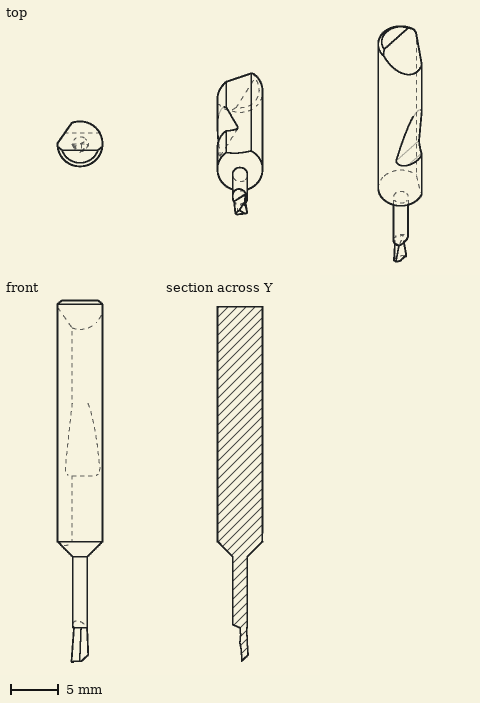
import cadquery as cq
import math

length = 38.1
shank_diameter = 4.75
shank_radius = shank_diameter / 2
neck_diameter = 1.55
neck_radius = neck_diameter / 2
shank_bottom = 12.73
neck_bottom = 3.65
cone_bottom = shank_bottom - (shank_radius - neck_radius)
top_chamfer = 0.4

flat_angle = 145.0
flat_distance = 2.0

bevel_start_y = -0.65
notch_top = 28.25
notch_bottom = 19.62
notch_depth = 1.2
notch_radius = 0.85
notch_slope = math.radians(9.0)

neck_bevel_distance = 0.05
neck_bevel_angle = 25.0
tip_left = -0.85
tip_right = -0.75
end_relief = 0.1
nose_start_x = 0.15
nose_height = 0.85
head_left = -0.9
head_right = 0.9

head_bottom_corners = [(head_left, 0.0), (-0.05, -0.88), (head_right, -0.2), (head_right, 0.0)]
head_top_corners = [(-0.65, -0.3), (0.1, -0.72), (0.75, -0.15), (0.65, 0.35)]

clearance = 0.4
cut_width = 2 * (shank_radius + clearance)


def make_blank():
    """Turned shank, cone and neck."""
    return (
        cq.Workplane("XZ")
        .moveTo(0, neck_bottom)
        .lineTo(neck_radius, neck_bottom)
        .lineTo(neck_radius, cone_bottom)
        .lineTo(shank_radius, shank_bottom)
        .lineTo(shank_radius, length - top_chamfer)
        .lineTo(shank_radius - top_chamfer, length)
        .lineTo(0, length)
        .close()
        .revolve(360, (0, 0, 0), (0, 1, 0))
    )


def extrude_both_ways(profile):
    """Close a sketch and extrude it to both sides, past the full width of the shank."""
    return profile.close().extrude(cut_width / 2, both=True)


def make_flat_cut():
    flat_length = length - cone_bottom
    return (
        cq.Workplane("XY")
        .box(cut_width, cut_width, flat_length, centered=(False, True, False))
        .translate((flat_distance, 0, cone_bottom))
        .rotate((0, 0, 0), (0, 0, 1), flat_angle)
    )


def make_top_bevel_cut():
    outer_y = shank_radius + clearance
    drop = outer_y - bevel_start_y
    return extrude_both_ways(
        cq.Workplane("YZ")
        .moveTo(bevel_start_y, length)
        .lineTo(outer_y, length - drop)
        .lineTo(outer_y, length)
    )


def make_notch_cut():
    """Shallow ramp ending in a round that is tangent to the ramp and the lower wall."""
    outer_y = shank_radius + clearance
    centre_y = shank_radius - notch_depth + notch_radius
    centre_z = notch_bottom + notch_radius
    ramp_end_y = centre_y - notch_radius * math.cos(notch_slope)
    ramp_end_z = centre_z + notch_radius * math.sin(notch_slope)
    middle_angle = (math.pi / 2 - notch_slope) / 2
    ramp_lead = clearance * (notch_top - ramp_end_z) / (shank_radius - ramp_end_y)
    return extrude_both_ways(
        cq.Workplane("YZ")
        .moveTo(outer_y, notch_top + ramp_lead)
        .lineTo(ramp_end_y, ramp_end_z)
        .threePointArc(
            (centre_y - notch_radius * math.cos(middle_angle),
             centre_z - notch_radius * math.sin(middle_angle)),
            (centre_y, notch_bottom),
        )
        .lineTo(outer_y, notch_bottom)
    )


def make_neck_bevel_cut():
    rise = neck_radius + clearance - neck_bevel_distance
    return extrude_both_ways(
        cq.Workplane("YZ")
        .moveTo(neck_bevel_distance, neck_bottom)
        .lineTo(neck_bevel_distance + rise, neck_bottom + rise)
        .lineTo(neck_bevel_distance + rise, neck_bottom)
    ).rotate((0, 0, 0), (0, 0, 1), neck_bevel_angle)


def make_head():
    """Twisted, flared cutting head ending in a small tip, with its lower +X corner cut back."""
    head = (
        cq.Workplane("XY")
        .polyline(head_bottom_corners).close()
        .workplane(offset=neck_bottom)
        .polyline(head_top_corners).close()
        .loft(ruled=True)
    )
    end_cut = extrude_both_ways(
        cq.Workplane("XZ")
        .moveTo(tip_right, 0)
        .lineTo(tip_right + end_relief, end_relief)
        .lineTo(nose_start_x, end_relief)
        .lineTo(head_right, nose_height)
        .lineTo(head_right, 0)
    )
    side_cut = extrude_both_ways(
        cq.Workplane("XZ")
        .moveTo(tip_left, 0)
        .lineTo(head_left, end_relief)
        .lineTo(head_left, 0)
    )
    return head.cut(end_cut).cut(side_cut)


shank = (
    make_blank()
    .cut(make_flat_cut())
    .cut(make_top_bevel_cut())
    .cut(make_notch_cut())
    .cut(make_neck_bevel_cut())
)
result = shank.union(make_head())